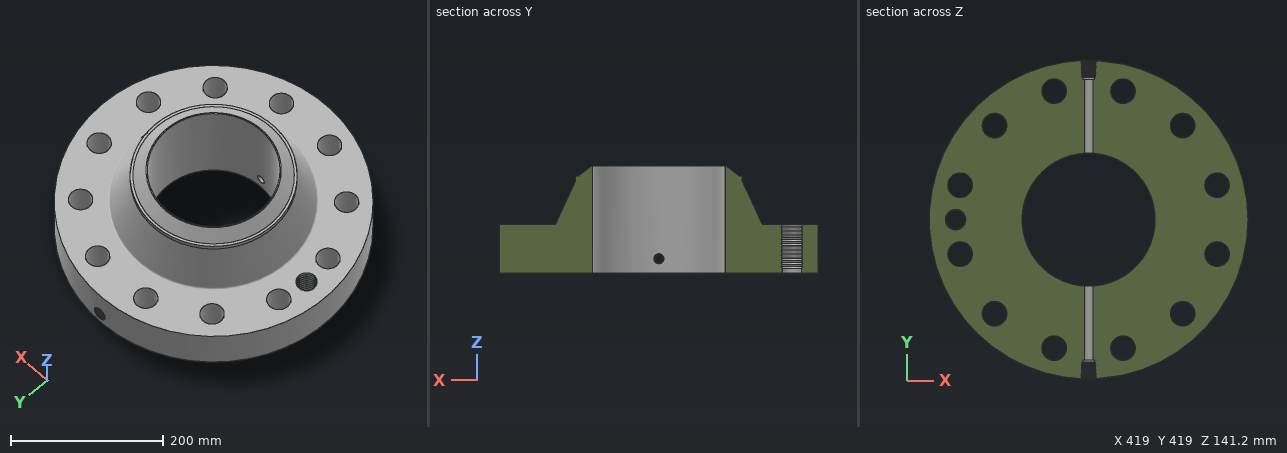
import cadquery as cq
import math

flange_diameter = 419.0
flange_radius = flange_diameter / 2
flange_thickness = 64.5
overall_height = 141.2

bore_radius = 87.0
land_width = 1.5
neck_radius = 110.0
ledge_width = 3.8
cone_base_radius = 136.0
cone_top_height = 121.5
neck_band_height = 6.5
base_fillet = 2.5

bolt_count = 12
bolt_circle_radius = 174.8
bolt_hole_diameter = 32.0
bolt_step = 360 / bolt_count

jack_major_radius = 14.0
jack_minor_radius = 12.5
jack_pitch = 5.0
jack_hole_x = -bolt_circle_radius

tap_height = 19.3
tap_major_radius = 10.5
tap_minor_radius = 9.0
tap_depth = 25.0
tap_pitch = 1.8
tap_taper = 1 / 32
tap_drill_radius = 6.3


def flange_body():
    """Disc and neck turned as one profile with an open bore, rounded where the cone meets the disc."""
    band_top = cone_top_height + neck_band_height
    profile = [
        (bore_radius, 0),
        (flange_radius, 0),
        (flange_radius, flange_thickness),
        (cone_base_radius, flange_thickness),
        (neck_radius, cone_top_height),
        (neck_radius, band_top),
        (neck_radius - ledge_width, band_top),
        (bore_radius + land_width, overall_height),
        (bore_radius, overall_height),
    ]
    turned = cq.Workplane("XZ").polyline(profile).close().revolve(360, (0, 0), (0, 1))
    cone_base_edge = cq.selectors.RadiusNthSelector(-2)
    return turned.edges(cone_base_edge).fillet(base_fillet)


def thread_cutter(major_radius, minor_radius, pitch, depth, taper=0.0):
    """Hole along +Z from the origin with ring-shaped V grooves; taper is radius lost per unit depth."""
    points = [(0, 0)]
    for groove in range(math.floor(depth / pitch)):
        root = groove * pitch
        crest = root + pitch / 2
        points.append((major_radius - taper * root, root))
        points.append((minor_radius - taper * crest, crest))
    points.append((minor_radius - taper * depth, depth))
    points.append((0, depth))
    return cq.Workplane("XZ").polyline(points).close().revolve(360, (0, 0), (0, 1))


def bolt_holes():
    return (
        cq.Workplane("XY")
        .polarArray(bolt_circle_radius, bolt_step / 2, 360, bolt_count)
        .circle(bolt_hole_diameter / 2)
        .extrude(flange_thickness)
    )


def jack_screw_hole():
    thread = thread_cutter(jack_major_radius, jack_minor_radius, jack_pitch, flange_thickness)
    return thread.rotate((0, 0, 0), (1, 0, 0), 180).translate((jack_hole_x, 0, flange_thickness))


def pressure_tap():
    """Tap entering from the -Y side and running into the bore."""
    thread = thread_cutter(tap_major_radius, tap_minor_radius, tap_pitch, tap_depth, tap_taper)
    drill = cq.Workplane("XY").circle(tap_drill_radius).extrude(flange_radius)
    return thread.union(drill).rotate((0, 0, 0), (1, 0, 0), -90).translate((0, -flange_radius, tap_height))


front_tap = pressure_tap()
back_tap = front_tap.rotate((0, 0, 0), (0, 0, 1), 180)

result = flange_body().cut(bolt_holes()).cut(jack_screw_hole()).cut(front_tap).cut(back_tap)